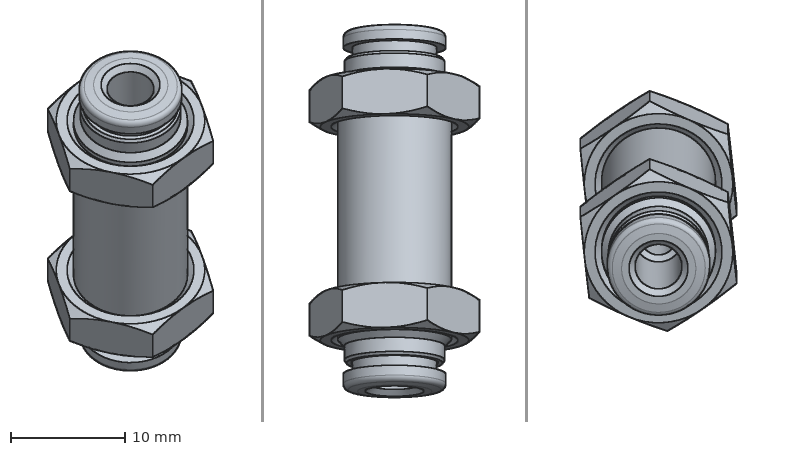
import cadquery as cq
import math

total_length = 32.0
end_z = total_length / 2

flange_diameter = 9.0
flange_height = 1.5
flange_edge_radius = 0.5
dome_slope = math.radians(10)
dome_inner_diameter = 6.5
sleeve_diameter = 7.4
sleeve_length = 8.0
sleeve_bore = 4.1
mouth_diameter = 5.15
mouth_depth = 0.5

barrel_diameter = 10.0
collar_diameter = 8.8
collar_end_depth = 2.5
collar_length = 1.5
collar_chamfer_width = 0.2
collar_chamfer_height = 0.25
socket_diameter = 7.6
bore_diameter = 3.0
bore_cone_slope = math.radians(30)

nut_across_flats = 13.0
nut_thickness = 4.0
nut_end_depth = 4.5
nut_mouth_diameter = 11.1
nut_chamfer_slope = math.radians(30)

socket_z = end_z - sleeve_length
collar_end_z = end_z - collar_end_depth
nut_center_z = end_z - nut_end_depth - nut_thickness / 2


def make_barrel():
    """Stepped cylinder with a tapered collar, sleeve socket and coned bore at each end."""
    outer_r = barrel_diameter / 2
    collar_r = collar_diameter / 2
    socket_r = socket_diameter / 2
    collar_root_z = collar_end_z - collar_length
    shoulder_z = collar_root_z - (outer_r - collar_r)
    cone_depth = (sleeve_bore - bore_diameter) / 2 * math.tan(bore_cone_slope)
    upper_outside = [
        (outer_r, shoulder_z),
        (collar_r, collar_root_z),
        (collar_r, collar_end_z - collar_chamfer_height),
        (collar_r - collar_chamfer_width, collar_end_z),
    ]
    upper_inside = [
        (socket_r, collar_end_z),
        (socket_r, socket_z),
        (sleeve_bore / 2, socket_z),
        (bore_diameter / 2, socket_z - cone_depth),
    ]
    upper_outline = upper_outside + upper_inside
    lower_outline = [(r, -z) for r, z in reversed(upper_outline)]
    return (
        cq.Workplane("XZ")
        .polyline(upper_outline + lower_outline)
        .close()
        .revolve(360, (0, 0), (0, 1))
    )


def make_sleeve():
    """Upper release sleeve with a domed, rounded flange and a chamfered mouth."""
    flange_r = flange_diameter / 2
    sleeve_r = sleeve_diameter / 2
    dome_r = dome_inner_diameter / 2
    arc_center_r = flange_r - flange_edge_radius
    arc_start_r = arc_center_r + flange_edge_radius * math.sin(dome_slope)
    arc_start_z = end_z - (arc_start_r - dome_r) * math.tan(dome_slope)
    arc_center_z = arc_start_z - flange_edge_radius * math.cos(dome_slope)
    arc_mid_angle = (math.pi / 2 - dome_slope) / 2
    arc_mid = (
        arc_center_r + flange_edge_radius * math.cos(arc_mid_angle),
        arc_center_z + flange_edge_radius * math.sin(arc_mid_angle),
    )
    return (
        cq.Workplane("XZ")
        .moveTo(sleeve_bore / 2, socket_z)
        .lineTo(sleeve_bore / 2, end_z - mouth_depth)
        .lineTo(mouth_diameter / 2, end_z)
        .lineTo(dome_r, end_z)
        .lineTo(arc_start_r, arc_start_z)
        .threePointArc(arc_mid, (flange_r, arc_center_z))
        .lineTo(flange_r, end_z - flange_height)
        .lineTo(sleeve_r, end_z - flange_height)
        .lineTo(sleeve_r, socket_z)
        .close()
        .revolve(360, (0, 0), (0, 1))
    )


def make_nut():
    """Hexagonal nut centred on the origin, chamfered on both faces inside and out."""
    half_thickness = nut_thickness / 2
    face_r = nut_across_flats / 2
    corner_r = face_r / math.cos(math.pi / 6)
    corner_z = half_thickness - (corner_r - face_r) * math.tan(nut_chamfer_slope)
    bore_r = barrel_diameter / 2
    mouth_r = nut_mouth_diameter / 2
    bore_end_z = half_thickness - (mouth_r - bore_r)
    hexagon = (
        cq.Workplane("XY")
        .polygon(6, 2 * corner_r)
        .extrude(half_thickness, both=True)
    )
    turned_ring = (
        cq.Workplane("XZ")
        .polyline([
            (bore_r, -bore_end_z),
            (mouth_r, -half_thickness),
            (face_r, -half_thickness),
            (corner_r, -corner_z),
            (corner_r, corner_z),
            (face_r, half_thickness),
            (mouth_r, half_thickness),
            (bore_r, bore_end_z),
        ])
        .close()
        .revolve(360, (0, 0), (0, 1))
    )
    return hexagon.intersect(turned_ring)


barrel = make_barrel()

upper_sleeve = make_sleeve()
sleeves = [upper_sleeve, upper_sleeve.mirror("XY")]

nuts = []
for side in (1, -1):
    nuts.append(make_nut().translate((0, 0, side * nut_center_z)))

result = cq.Compound.makeCompound([
    barrel.val(),
    *[sleeve.val() for sleeve in sleeves],
    *[nut.val() for nut in nuts],
])